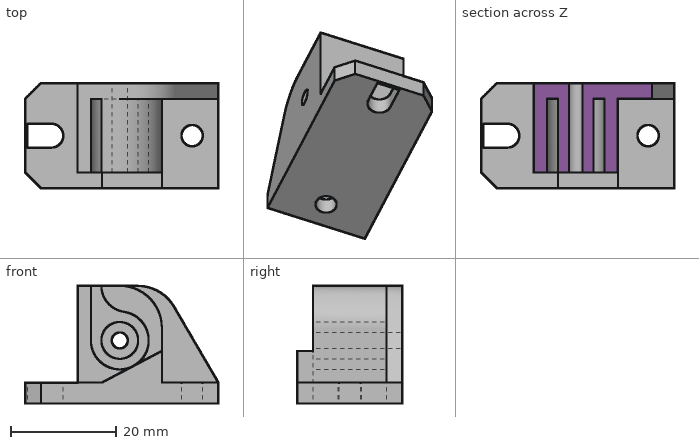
import math

import cadquery as cq

BASE_LENGTH = 36.75
BASE_WIDTH = 20.0
BASE_HEIGHT = 4.0
CORNER_CHAMFER = 3.0

MOUNT_Y = BASE_WIDTH / 2
SLOT_START_X = 0.5
SLOT_END_X = 7.25
SLOT_WIDTH = 4.5
SCREW_HOLE_X = 31.75
SCREW_HOLE_DIAMETER = 4.0

PIN_X = 18.0
PIN_Z = 12.0
PIN_DIAMETER = 7.0
PIN_BORE_DIAMETER = 3.0
CHANNEL_RADIUS = 5.5
LIP_RADIUS = 5.0

LIP_CENTER_X = PIN_X - PIN_DIAMETER / 2 + LIP_RADIUS
LIP_OFFSET_X = LIP_CENTER_X - PIN_X
LIP_OFFSET_Z = math.sqrt((CHANNEL_RADIUS + LIP_RADIUS) ** 2 - LIP_OFFSET_X ** 2)
TOP_Z = PIN_Z + LIP_OFFSET_Z

BLOCK_LEFT_X = 10.0
BLOCK_RIGHT_X = 26.0
BLOCK_ROUND_RADIUS = BLOCK_RIGHT_X - PIN_X
WALL_THICKNESS = 3.0
WALL_FRONT_Y = BASE_WIDTH - WALL_THICKNESS
WALL_ROUND_RADIUS = 8.0
GUSSET_THICKNESS = 3.0
GUSSET_TOP_Z = 10.0


def polar(center, radius, angle):
    """Point on a circle in the XZ plane."""
    return (center[0] + radius * math.cos(angle), center[1] + radius * math.sin(angle))


def extrude_along_y(outline, start_y, end_y):
    """Extrude a closed XZ outline from start_y to end_y."""
    return outline.extrude(start_y - end_y).translate((0, start_y, 0))


def cylinder_along_y(diameter, start_y, end_y):
    """Cylinder on the pin axis."""
    outline = cq.Workplane("XZ").center(PIN_X, PIN_Z).circle(diameter / 2)
    return extrude_along_y(outline, start_y, end_y)


def make_base():
    base = cq.Workplane("XY").box(BASE_LENGTH, BASE_WIDTH, BASE_HEIGHT, centered=False)
    base = base.edges("|Z and <X").chamfer(CORNER_CHAMFER)

    half_width = SLOT_WIDTH / 2
    arc_start_x = SLOT_END_X - half_width
    slot = (
        cq.Workplane("XY")
        .moveTo(SLOT_START_X, MOUNT_Y - half_width)
        .lineTo(arc_start_x, MOUNT_Y - half_width)
        .threePointArc((SLOT_END_X, MOUNT_Y), (arc_start_x, MOUNT_Y + half_width))
        .lineTo(SLOT_START_X, MOUNT_Y + half_width)
        .close()
        .extrude(BASE_HEIGHT)
    )
    screw_hole = (
        cq.Workplane("XY")
        .center(SCREW_HOLE_X, MOUNT_Y)
        .circle(SCREW_HOLE_DIAMETER / 2)
        .extrude(BASE_HEIGHT)
    )
    return base.cut(slot).cut(screw_hole)


def make_back_wall():
    """Wall whose rounded shoulder slopes down to the right end of the base."""
    slope = math.atan2(TOP_Z - BASE_HEIGHT, BASE_LENGTH - BLOCK_RIGHT_X)
    normal_angle = math.pi / 2 - slope
    center_x = BLOCK_RIGHT_X - WALL_ROUND_RADIUS * math.tan(slope / 2)
    center = (center_x, TOP_Z - WALL_ROUND_RADIUS)
    slope_top = polar(center, WALL_ROUND_RADIUS, normal_angle)
    middle_angle = (normal_angle + math.pi / 2) / 2
    outline = (
        cq.Workplane("XZ")
        .moveTo(BLOCK_LEFT_X, 0)
        .lineTo(BLOCK_LEFT_X, TOP_Z)
        .lineTo(center_x, TOP_Z)
        .threePointArc(polar(center, WALL_ROUND_RADIUS, middle_angle), slope_top)
        .lineTo(BASE_LENGTH, BASE_HEIGHT)
        .lineTo(BASE_LENGTH, 0)
        .close()
    )
    return extrude_along_y(outline, WALL_FRONT_Y, BASE_WIDTH)


def make_block():
    """Block in front of the back wall, with its upper right edge rounded."""
    center = (PIN_X, TOP_Z - BLOCK_ROUND_RADIUS)
    outline = (
        cq.Workplane("XZ")
        .moveTo(BLOCK_LEFT_X, 0)
        .lineTo(BLOCK_LEFT_X, TOP_Z)
        .lineTo(PIN_X, TOP_Z)
        .threePointArc(polar(center, BLOCK_ROUND_RADIUS, math.pi / 4), (BLOCK_RIGHT_X, center[1]))
        .lineTo(BLOCK_RIGHT_X, 0)
        .close()
    )
    return extrude_along_y(outline, GUSSET_THICKNESS, WALL_FRONT_Y)


def make_channel():
    """Hook-shaped channel: a narrow mouth at the top widening around the pin."""
    pin_center = (PIN_X, PIN_Z)
    lip_center = (LIP_CENTER_X, TOP_Z)
    lip_angle = math.atan2(LIP_OFFSET_Z, LIP_OFFSET_X)
    lip_middle = polar(lip_center, LIP_RADIUS, math.pi + lip_angle / 2)
    lip_end = polar(pin_center, CHANNEL_RADIUS, lip_angle)
    channel_bottom = polar(pin_center, CHANNEL_RADIUS, -math.pi / 2)
    outline = (
        cq.Workplane("XZ")
        .moveTo(PIN_X - CHANNEL_RADIUS, TOP_Z)
        .lineTo(LIP_CENTER_X - LIP_RADIUS, TOP_Z)
        .threePointArc(lip_middle, lip_end)
        .threePointArc(channel_bottom, (PIN_X - CHANNEL_RADIUS, PIN_Z))
        .close()
    )
    return extrude_along_y(outline, GUSSET_THICKNESS, WALL_FRONT_Y)


def make_gusset():
    """Front wedge whose sloping top is tangent to the underside of the channel."""
    run_to_pin = BLOCK_RIGHT_X - PIN_X
    rise_to_pin = PIN_Z - GUSSET_TOP_Z
    tangent_angle = math.asin(CHANNEL_RADIUS / math.hypot(run_to_pin, rise_to_pin))
    slope = tangent_angle - math.atan2(rise_to_pin, run_to_pin)
    foot_x = BLOCK_RIGHT_X - (GUSSET_TOP_Z - BASE_HEIGHT) / math.tan(slope)
    outline = (
        cq.Workplane("XZ")
        .moveTo(foot_x, 0)
        .lineTo(foot_x, BASE_HEIGHT)
        .lineTo(BLOCK_RIGHT_X, GUSSET_TOP_Z)
        .lineTo(BLOCK_RIGHT_X, 0)
        .close()
    )
    return extrude_along_y(outline, 0, GUSSET_THICKNESS)


body = make_base().union(make_back_wall()).union(make_block()).cut(make_channel())
body = body.union(make_gusset())
body = body.union(cylinder_along_y(PIN_DIAMETER, GUSSET_THICKNESS, WALL_FRONT_Y))
result = body.cut(cylinder_along_y(PIN_BORE_DIAMETER, 0, BASE_WIDTH))